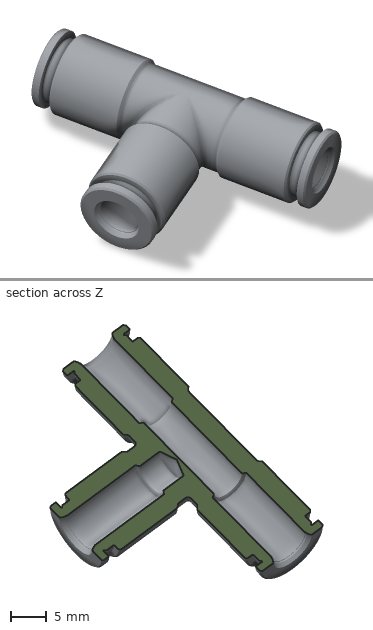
import cadquery as cq
import math

run_length = 42.8
reach = run_length / 2

core_radius = 11.0 / 2
sleeve_radius = 12.0 / 2
flange_radius = 11.5 / 2
neck_radius = 9.6 / 2

flange_thickness = 1.25
sleeve_start = 2.9
sleeve_end = 13.53

flange_chamfer = 0.25
neck_chamfer = 0.25
neck_groove_width = 0.1
sleeve_chamfer = 0.25
shoulder_fillet = 0.43
crotch_fillet = 0.5

mouth_radius = 3.45
mouth_chamfer_depth = 0.6
entry_radius = 3.13
entry_depth = 0.85
socket_radius = 3.05
socket_depth = sleeve_end
passage_radius = 2.53
shoulder_half_angle = math.radians(60)
tip_half_angle = math.radians(70)
branch_wall = 0.43

fillet_turn = math.radians(45)
fillet_drop = shoulder_fillet * (1 - math.cos(fillet_turn))
fillet_run = shoulder_fillet * math.sin(fillet_turn)
cone_drop = sleeve_radius - core_radius - fillet_drop
cone_end = sleeve_end + cone_drop
fillet_end = cone_end + fillet_run
fillet_centre_radius = core_radius + shoulder_fillet
fillet_middle = (
    fillet_centre_radius - shoulder_fillet * math.cos(fillet_turn / 2),
    fillet_end - shoulder_fillet * math.sin(fillet_turn / 2),
)


def revolve_port(profile):
    """Revolve a (radius, distance from tip) profile; the tip lies at the origin, inwards is +Y."""
    return profile.close().revolve(360, (0, 0, 0), (0, 1, 0))


def place_port(port, angle):
    """Move a port's tip out along -Y, then turn it about Z through the tee centre."""
    return port.translate((0, -reach, 0)).rotate((0, 0, 0), (0, 0, 1), angle)


def port_outside():
    """Release flange, neck and sleeve, ending where the sleeve meets the core."""
    neck_start = flange_thickness + neck_groove_width
    return revolve_port(
        cq.Workplane("XY")
        .lineTo(flange_radius - flange_chamfer, 0)
        .lineTo(flange_radius, flange_chamfer)
        .lineTo(flange_radius, flange_thickness)
        .lineTo(neck_radius - neck_chamfer, flange_thickness)
        .lineTo(neck_radius - neck_chamfer, neck_start)
        .lineTo(neck_radius, neck_start + neck_chamfer)
        .lineTo(neck_radius, sleeve_start)
        .lineTo(sleeve_radius - sleeve_chamfer, sleeve_start)
        .lineTo(sleeve_radius, sleeve_start + sleeve_chamfer)
        .lineTo(sleeve_radius, sleeve_end)
        .lineTo(sleeve_radius - cone_drop, cone_end)
        .threePointArc(fillet_middle, (core_radius, fillet_end))
        .lineTo(0, fillet_end)
    )


def port_bore(passage_end):
    """Chamfered mouth, tube socket with a conical shoulder, and a passage with a conical tip."""
    shoulder_depth = socket_depth + (socket_radius - passage_radius) / math.tan(shoulder_half_angle)
    tip_depth = passage_end + passage_radius / math.tan(tip_half_angle)
    return revolve_port(
        cq.Workplane("XY")
        .lineTo(mouth_radius, 0)
        .lineTo(entry_radius, mouth_chamfer_depth)
        .lineTo(entry_radius, entry_depth)
        .lineTo(socket_radius, entry_depth)
        .lineTo(socket_radius, socket_depth)
        .lineTo(passage_radius, shoulder_depth)
        .lineTo(passage_radius, passage_end)
        .lineTo(0, tip_depth)
    )


core_half_length = reach - fillet_end
run_core = cq.Workplane("YZ").circle(core_radius).extrude(core_half_length, both=True)
branch_core = cq.Workplane("XZ").circle(core_radius).extrude(core_half_length)
body = run_core.union(branch_core)
body = body.edges("%ELLIPSE").fillet(crotch_fillet)

branch_angle = 0
run_angles = (-90, 90)
for angle in (branch_angle, *run_angles):
    body = body.union(place_port(port_outside(), angle))

for angle in run_angles:
    body = body.cut(place_port(port_bore(reach), angle))
branch_tip_depth = reach - passage_radius - branch_wall
branch_passage_end = branch_tip_depth - passage_radius / math.tan(tip_half_angle)
body = body.cut(place_port(port_bore(branch_passage_end), branch_angle))

result = body